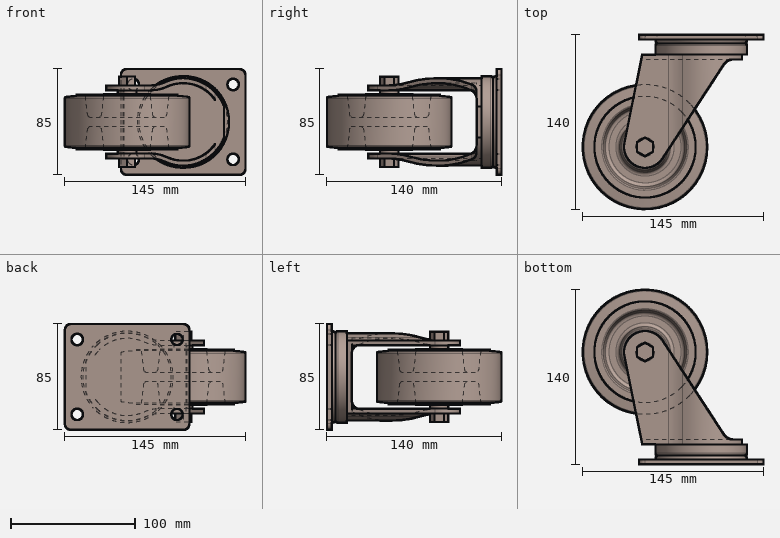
import cadquery as cq
import math


plate_length = 100.0
plate_width = 85.0
plate_thickness = 4.0
plate_corner_radius = 5.0
plate_top = 90.0
plate_bottom = plate_top - plate_thickness
hole_diameter = 9.0
hole_spacing_x = 80.0
hole_spacing_z = 60.0

swivel_x = 45.0
swivel_radius = 73.6 / 2
swivel_bottom = 74.0
groove_radius = 35.4
groove_y = 83.0
lower_race_shoulder = 81.1

sheet = 4.0
leg_outer_z = 29.3
leg_inner_z = leg_outer_z - sheet
web_bottom = swivel_bottom - sheet
leg_end_radius = 16.8
web_front_x = 77.8
web_rear_x = -2.3
web_leg_corner_x = 65.8
web_leg_fillet = 9.0
bend_start_x = 19.0
bend_radius = 26.0
bend_run = swivel_x - bend_start_x
bend_rise = leg_outer_z + bend_radius
bulge_radius = math.hypot(bend_run, bend_rise) - bend_radius

tyre_radius = 50.0
tyre_edge_z = 20.0
tyre_inner_z = 21.0
tyre_fillet = 1.4
rim_radius = 81.25 / 2
rim_z = 22.0
recess_radius = 33.7
recess_floor_radius = 31.5
recess_floor_z = 3.5
recess_edge_fillet = 1.2
recess_floor_fillet = 3.0
hub_top_radius = 18.5
hub_base_radius = 20.7
hub_z = 22.5
hub_edge_fillet = 0.5
hub_base_fillet = 3.0

spacer_diameter = 15.02
hex_across_flats = 13.0
hex_across_corners = hex_across_flats / math.cos(math.pi / 6)
bolt_head_height = 7.0
bolt_half_length = leg_outer_z + bolt_head_height


def rounded_polygon(workplane, corners):
    """Closed outline through (x, y, corner radius) entries."""
    count = len(corners)
    for i in range(count):
        x, y, radius = corners[i]
        corner = cq.Vector(x, y)
        before = (cq.Vector(*corners[i - 1][:2]) - corner).normalized()
        after = (cq.Vector(*corners[(i + 1) % count][:2]) - corner).normalized()
        half_angle = before.getAngle(after) / 2
        reach = radius / math.tan(half_angle)
        start = corner + before * reach
        if i == 0:
            workplane = workplane.moveTo(start.x, start.y)
        else:
            workplane = workplane.lineTo(start.x, start.y)
        if radius > 0:
            bisector = (before + after).normalized()
            middle = corner + bisector * (radius / math.sin(half_angle) - radius)
            end = corner + after * reach
            workplane = workplane.threePointArc((middle.x, middle.y), (end.x, end.y))
    return workplane.close()


def tangent_point(x, y, radius, side):
    """Touch point on a circle at the origin of the tangent from (x, y)."""
    angle = math.atan2(y, x) + side * math.acos(radius / math.hypot(x, y))
    return radius * math.cos(angle), radius * math.sin(angle)


def make_plate():
    plate = (
        cq.Workplane("XZ", origin=(swivel_x, plate_top, 0))
        .rect(plate_length, plate_width)
        .extrude(plate_thickness)
        .edges("|Y")
        .fillet(plate_corner_radius)
    )
    return (
        plate.faces("<Y")
        .workplane(centerOption="CenterOfBoundBox")
        .rect(hole_spacing_x, hole_spacing_z, forConstruction=True)
        .vertices()
        .hole(hole_diameter)
    )


def make_swivel():
    """Two races with rounded edges that meet in a groove."""
    edge_x = swivel_x + swivel_radius
    groove_x = swivel_x + groove_radius
    groove_depth = swivel_radius - groove_radius
    upper_height = plate_bottom - groove_y
    upper_round = (upper_height**2 + groove_depth**2) / (2 * groove_depth)
    upper_half_angle = math.asin(upper_height / upper_round) / 2
    upper_middle = (
        edge_x - upper_round * (1 - math.cos(upper_half_angle)),
        plate_bottom - upper_round * math.sin(upper_half_angle),
    )
    return (
        cq.Workplane("XY")
        .moveTo(swivel_x, swivel_bottom)
        .lineTo(edge_x, swivel_bottom)
        .lineTo(edge_x, lower_race_shoulder)
        .tangentArcPoint((groove_x, groove_y), relative=False)
        .threePointArc(upper_middle, (edge_x, plate_bottom))
        .lineTo(swivel_x, plate_bottom)
        .close()
        .revolve(360, (swivel_x, 0, 0), (swivel_x, 1, 0))
    )


def fork_plan(inset, top):
    """Body with the plan shape of the fork, inset from its outer surface, from top downward."""
    leg_z = leg_outer_z - inset
    bend = bend_radius + inset
    bulge = bulge_radius - inset
    bend_angle = math.atan2(bend_run, bend_rise)
    bend_centre_z = leg_z + bend
    middle_x = bend_start_x + bend * math.sin(bend_angle / 2)
    middle_z = bend_centre_z - bend * math.cos(bend_angle / 2)
    end_x = bend_start_x + bend * math.sin(bend_angle)
    end_z = bend_centre_z - bend * math.cos(bend_angle)
    rear_x = -2 * leg_end_radius
    return (
        cq.Workplane("XZ", origin=(0, top, 0))
        .moveTo(rear_x, leg_z)
        .lineTo(bend_start_x, leg_z)
        .threePointArc((middle_x, middle_z), (end_x, end_z))
        .threePointArc((swivel_x + bulge, 0), (end_x, -end_z))
        .threePointArc((middle_x, -middle_z), (bend_start_x, -leg_z))
        .lineTo(rear_x, -leg_z)
        .close()
        .extrude(top + 2 * leg_end_radius)
    )


def make_fork():
    """Sheet fork: a web under the swivel and two legs that taper to the axle."""
    rear_touch = tangent_point(web_rear_x, swivel_bottom, leg_end_radius, 1)
    front_touch = tangent_point(web_leg_corner_x, web_bottom, leg_end_radius, -1)
    side_profile = (
        cq.Workplane("XY")
        .moveTo(*rear_touch)
        .lineTo(web_rear_x, swivel_bottom)
        .lineTo(web_front_x, swivel_bottom)
        .lineTo(web_front_x, web_bottom)
        .lineTo(web_leg_corner_x, web_bottom)
        .lineTo(*front_touch)
        .threePointArc((0, -leg_end_radius), rear_touch)
        .close()
        .extrude(bulge_radius, both=True)
    )
    corner_edge = cq.NearestToPointSelector((web_leg_corner_x, web_bottom, 0))
    side_profile = side_profile.edges("|Z").edges(corner_edge).fillet(web_leg_fillet)
    return side_profile.intersect(fork_plan(0, swivel_bottom)).cut(fork_plan(sheet, web_bottom))


def make_wheel():
    """Tyre, rim and hub joined by a thin disc, the same on both faces."""
    upper_corners = [
        (0, hub_z, 0),
        (hub_top_radius, hub_z, hub_edge_fillet),
        (hub_base_radius, recess_floor_z, hub_base_fillet),
        (recess_floor_radius, recess_floor_z, recess_floor_fillet),
        (recess_radius, rim_z, recess_edge_fillet),
        (rim_radius, rim_z, 0),
        (rim_radius, tyre_inner_z, 0),
        (tyre_radius, tyre_edge_z, tyre_fillet),
    ]
    lower_corners = [(r, -z, fillet) for r, z, fillet in reversed(upper_corners)]
    profile = rounded_polygon(cq.Workplane("XZ"), upper_corners + lower_corners)
    return profile.revolve(360, (0, 0, 0), (0, 1, 0))


def make_axle():
    """Hexagon-headed bolt with a round spacer between the legs; two hexagon corners lie on Y."""
    spacer = cq.Workplane("XY").circle(spacer_diameter / 2).extrude(leg_inner_z, both=True)
    bolt = (
        cq.Workplane("XY")
        .transformed(rotate=(0, 0, 90))
        .polygon(6, hex_across_corners)
        .extrude(bolt_half_length, both=True)
    )
    return spacer.union(bolt)


result = (
    make_plate()
    .union(make_swivel())
    .union(make_fork())
    .union(make_wheel())
    .union(make_axle())
)